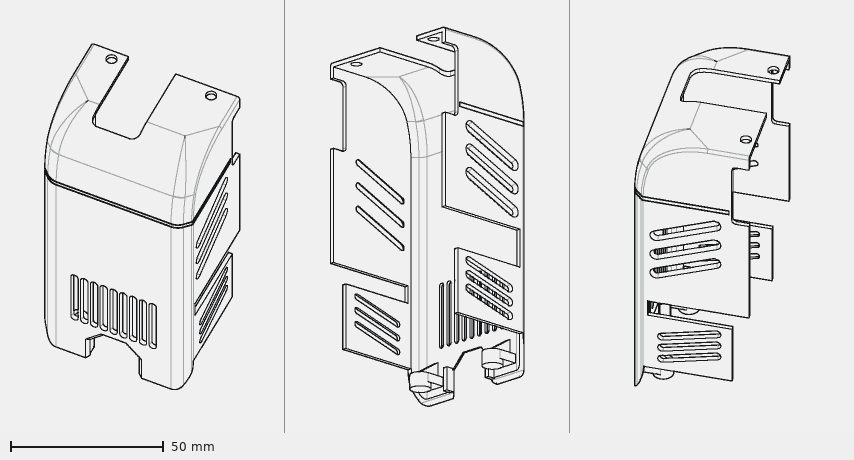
import cadquery as cq
import math

WIDTH = 53.6
DEPTH = 40.0
HEIGHT = 110.08
HALF = WIDTH / 2
WALL = 1.5
SINK = WALL / 2
BEYOND = 20.0

FACE_DROP = 24.4
FRONT_CROWN = 17.7
FRONT_FACE = 0.0
FRONT_CROWN_RADIUS = 16.6
CORNER_CROWN = 0.14
CORNER_FACE = -16.23
CORNER_CROWN_RADIUS = 15.4

CORNER_RADIUS = 5.3
SIDE_RADIUS = 1.0

GROOVE_TOP = HEIGHT - FACE_DROP
GROOVE_WIDTH = 1.5
GROOVE_DEPTH = 0.25
GROOVE_BACK = 33.2

TOP_HOLE_DIAMETER = 3.6
TOP_HOLE_X = 18.0
TOP_HOLE_Y = 36.7
TOP_NOTCH_LEFT = -13.4
TOP_NOTCH_RIGHT = 3.6
TOP_NOTCH_FRONT = 10.25
TOP_NOTCH_RADIUS = 2.6

REAR_NOTCH_FRONT = 34.2
REAR_NOTCH_TOP = HEIGHT - 5.3
REAR_NOTCH_BOTTOM = HEIGHT - 29.5
REAR_NOTCH_RADIUS = 1.5
GAP_FRONT = 5.75
GAP_BOTTOM = HEIGHT - 74.9
GAP_TOP_LEFT = HEIGHT - 61.8
GAP_TOP_RIGHT = HEIGHT - 68.9
LOWER_PANEL_BACK = 34.3
LOWER_PANEL_BOTTOM = HEIGHT - 97.2
SIDE_END_FRONT = 4.4

UPPER_SLOT_DIAMETER = 4.0
UPPER_SLOT_NARROWING = 0.95
UPPER_SLOT_BACK = (28.5, HEIGHT - 31.8)
UPPER_SLOT_FRONT = (8.6, HEIGHT - 40.2)
UPPER_SLOT_PITCH = 8.05
LOWER_SLOT_DIAMETER = 2.8
LOWER_SLOT_NARROWING = 0.4
LOWER_SLOT_BACK = (29.1, HEIGHT - 78.2)
LOWER_SLOT_FRONT = (10.6, HEIGHT - 83.2)
LOWER_SLOT_PITCH = 4.75
SIDE_SLOT_COUNT = 3
FRONT_SLOT_DIAMETER = 2.6
FRONT_SLOT_NARROWING = 0.4
FRONT_SLOT_COUNT = 9
FRONT_SLOT_PITCH = 3.53
FRONT_SLOT_TOP = HEIGHT - 69.3
FRONT_SLOT_BOTTOM = HEIGHT - 92.4

END_CORNER_RADIUS = 14.0
END_CORNER_TOP = 9.6
BOTTOM_NOTCH_HALF = 10.1
BOTTOM_NOTCH_FLAT = 4.5
BOTTOM_NOTCH_SHOULDER = HEIGHT - 100.3
BOTTOM_NOTCH_TOP = HEIGHT - 94.7
BOTTOM_NOTCH_NARROWING = 1.2
BOTTOM_NOTCH_BEVEL = 0.8
BOTTOM_NOTCH_ROUNDING = 1.0
END_BEVEL_DEPTH = 1.2
END_BEVEL_RISE = 1.5
END_TRIM_MIDDLE = (2.9, 5.2)
RIM_BACK = 4.1
RIM_BOTTOM = 1.8
RIM_WIDTH = 1.5

BOSS_DIAMETER = 7.0
BOSS_X = 16.8
BOSS_Y = 8.5
BOSS_BOTTOM = HEIGHT - 107.2
BOSS_TOP = HEIGHT - 102.3
BRIDGE_HEIGHT = 3.1
GUSSET_WIDTH = 2.0
GUSSET_BACK = 10.6
GUSSET_SLOPE = 0.62


def box(x0, x1, y0, y1, z0, z1):
    """Axis-aligned block between two opposite corners."""
    return cq.Workplane("XY").box(x1 - x0, y1 - y0, z1 - z0, centered=False).translate((x0, y0, z0))


def both_sides(right):
    """The feature together with its mirror image on the -X side."""
    return right.union(right.mirror("YZ"))


def rounded_slab(plane, crown, face, crown_radius, inset):
    """Everything behind a face that curves over into the flat top, shrunk by `inset`."""
    rear = DEPTH + WIDTH
    reach = crown - face
    rise = FACE_DROP - crown_radius
    brow_radius = (reach**2 + rise**2 - crown_radius**2) / (2 * (reach - crown_radius))
    crown_centre = (crown, HEIGHT - crown_radius)
    brow_centre = (face + brow_radius, HEIGHT - FACE_DROP)
    joint_angle = math.asin(rise / (brow_radius - crown_radius))

    def on_arc(centre, radius, angle):
        """Point on an arc, the angle rising from the outward horizontal."""
        trimmed = radius - inset
        return (centre[0] - trimmed * math.cos(angle), centre[1] + trimmed * math.sin(angle))

    crown_mid = on_arc(crown_centre, crown_radius, (math.pi / 2 + joint_angle) / 2)
    joint = on_arc(crown_centre, crown_radius, joint_angle)
    brow_mid = on_arc(brow_centre, brow_radius, joint_angle / 2)
    return (
        cq.Workplane(plane)
        .moveTo(rear, HEIGHT - inset)
        .lineTo(crown, HEIGHT - inset)
        .threePointArc(crown_mid, joint)
        .threePointArc(brow_mid, (face + inset, HEIGHT - FACE_DROP))
        .lineTo(face + inset, -BEYOND)
        .lineTo(rear, -BEYOND)
        .close()
        .extrude(2 * WIDTH, both=True)
    )


def outer_form(inset):
    """Solid form of the cover, each face moved inwards by `inset`."""
    front_plane = cq.Plane(origin=(0, 0, 0), xDir=(0, 1, 0), normal=(1, 0, 0))
    corner_plane = cq.Plane(origin=(0, 0, 0), xDir=(-1, 1, 0), normal=(1, 1, 0))
    corner = rounded_slab(corner_plane, CORNER_CROWN, CORNER_FACE, CORNER_CROWN_RADIUS, inset)
    form = rounded_slab(front_plane, FRONT_CROWN, FRONT_FACE, FRONT_CROWN_RADIUS, inset)
    form = form.intersect(corner).intersect(corner.mirror("YZ"))
    side = HALF - inset
    form = form.intersect(box(-side, side, -BEYOND, DEPTH + BEYOND, -BEYOND, HEIGHT))

    def between_front_and_corner(edge):
        start, end = edge.startPoint(), edge.endPoint()
        upright = abs(start.z - end.z) > 0.1
        return upright and abs(edge.Center().x) < side - 1 and edge.Center().y < FRONT_CROWN

    def around_side_wall(edge):
        on_wall = abs(abs(edge.Center().x) - side) < 0.01
        at_rear = edge.Center().y > DEPTH + BEYOND - 1
        at_bottom = edge.Center().z < 1 - BEYOND
        return on_wall and not at_rear and not at_bottom

    form = form.newObject(filter(between_front_and_corner, form.edges().vals())).fillet(
        CORNER_RADIUS - inset
    )
    if inset < SIDE_RADIUS:
        form = form.newObject(filter(around_side_wall, form.edges().vals())).fillet(SIDE_RADIUS - inset)
    return form


def shell():
    """Thin cover, open at the rear and at the bottom."""
    limits = box(-WIDTH, WIDTH, -1, DEPTH, 0, HEIGHT + 1)
    return outer_form(0).intersect(limits).cut(outer_form(WALL))


def groove():
    """Shallow band around the front and both sides."""
    band = box(-WIDTH, WIDTH, -1, GROOVE_BACK, GROOVE_TOP - GROOVE_WIDTH, GROOVE_TOP)
    return band.cut(outer_form(GROOVE_DEPTH))


def top_openings():
    """Cable notch from the rear edge and two screw holes."""
    notch = box(TOP_NOTCH_LEFT, TOP_NOTCH_RIGHT, TOP_NOTCH_FRONT, DEPTH + 1, HEIGHT - FACE_DROP, HEIGHT + 1)
    notch = notch.edges("|Z and <Y").fillet(TOP_NOTCH_RADIUS)
    holes = (
        cq.Workplane("XY", origin=(0, 0, HEIGHT + 1))
        .pushPoints([(-TOP_HOLE_X, TOP_HOLE_Y), (TOP_HOLE_X, TOP_HOLE_Y)])
        .circle(TOP_HOLE_DIAMETER / 2)
        .extrude(-WALL - 2)
    )
    return notch.union(holes)


def side_wall_cutouts():
    """Everything removed from the outlines of the two side walls."""
    rear = DEPTH + 1
    notch = box(-WIDTH, WIDTH, REAR_NOTCH_FRONT, rear, REAR_NOTCH_BOTTOM, REAR_NOTCH_TOP)
    notch = notch.edges("|X and <Y").fillet(REAR_NOTCH_RADIUS)
    left_gap = box(-WIDTH, 0, GAP_FRONT, rear, GAP_BOTTOM, GAP_TOP_LEFT)
    right_gap = box(0, WIDTH, GAP_FRONT, rear, GAP_BOTTOM, GAP_TOP_RIGHT)
    behind_panel = box(-WIDTH, WIDTH, LOWER_PANEL_BACK, rear, -1, GAP_BOTTOM + 1)
    return notch.union(left_gap).union(right_gap).union(behind_panel)


def narrowing_slot(plane, end_a, end_b, diameter, narrowing):
    """Round-ended slot through one wall, `narrowing` smaller all round at the inner face."""
    run = (end_b[0] - end_a[0], end_b[1] - end_a[1])
    length = math.hypot(*run) + diameter
    angle = math.degrees(math.atan2(run[1], run[0]))
    taper = math.degrees(math.atan2(narrowing, WALL))
    middle = ((end_a[0] + end_b[0]) / 2, (end_a[1] + end_b[1]) / 2)
    return (
        cq.Workplane(plane)
        .center(*middle)
        .slot2D(length, diameter, angle)
        .extrude(WALL, taper=taper)
    )


def front_slots():
    """Row of upright slots in the front wall."""
    plane = cq.Plane(origin=(0, 0, 0), xDir=(-1, 0, 0), normal=(0, 1, 0))
    slots = cq.Workplane()
    radius = FRONT_SLOT_DIAMETER / 2
    for i in range(FRONT_SLOT_COUNT):
        x = (i - (FRONT_SLOT_COUNT - 1) / 2) * FRONT_SLOT_PITCH
        bottom = (x, FRONT_SLOT_BOTTOM + radius)
        top = (x, FRONT_SLOT_TOP - radius)
        slots.add(narrowing_slot(plane, bottom, top, FRONT_SLOT_DIAMETER, FRONT_SLOT_NARROWING))
    return slots.combine()


def side_slots(back, front, pitch, diameter, narrowing):
    """Column of sloping slots, the same in both side walls."""
    plane = cq.Plane(origin=(-HALF, 0, 0), xDir=(0, 1, 0), normal=(1, 0, 0))
    slots = cq.Workplane()
    for i in range(SIDE_SLOT_COUNT):
        drop = i * pitch
        upper_end = (back[0], back[1] - drop)
        lower_end = (front[0], front[1] - drop)
        slots.add(narrowing_slot(plane, upper_end, lower_end, diameter, narrowing))
    return both_sides(slots.combine())


def bottom_notch():
    """Opening with sloping shoulders in the front wall, its front edge bevelled."""
    outline = [
        (-BOTTOM_NOTCH_HALF, -BEYOND),
        (-BOTTOM_NOTCH_HALF, BOTTOM_NOTCH_SHOULDER),
        (-BOTTOM_NOTCH_FLAT, BOTTOM_NOTCH_TOP),
        (BOTTOM_NOTCH_FLAT, BOTTOM_NOTCH_TOP),
        (BOTTOM_NOTCH_HALF, BOTTOM_NOTCH_SHOULDER),
        (BOTTOM_NOTCH_HALF, -BEYOND),
    ]
    plane = cq.Plane(origin=(0, 0, 0), xDir=(-1, 0, 0), normal=(0, 1, 0))
    taper = math.degrees(math.atan2(BOTTOM_NOTCH_NARROWING, BOTTOM_NOTCH_BEVEL))
    rounding = BOTTOM_NOTCH_ROUNDING
    rounded = cq.Workplane(plane).polyline(outline).close().offset2D(-rounding).offset2D(rounding)
    bevel = rounded.extrude(BOTTOM_NOTCH_BEVEL, taper=taper)
    passage = bevel.faces(">Y").wires().toPending().extrude(RIM_BACK)
    return bevel.union(passage)


def bottom_trim():
    """Rounded lower corners of the front outline and the bevel along the lower edge."""
    sweep = math.asin(END_CORNER_TOP / END_CORNER_RADIUS)
    centre_x = HALF - END_CORNER_RADIUS

    def on_arc(angle):
        x = centre_x + END_CORNER_RADIUS * math.cos(angle)
        return (x, END_CORNER_TOP - END_CORNER_RADIUS * math.sin(angle))

    corner = (
        cq.Workplane("XZ", origin=(0, -1, 0))
        .moveTo(HALF, END_CORNER_TOP)
        .threePointArc(on_arc(sweep / 2), on_arc(sweep))
        .lineTo(WIDTH, 0)
        .lineTo(WIDTH, END_CORNER_TOP)
        .close()
        .extrude(-DEPTH)
    )
    edge = (
        cq.Workplane("YZ")
        .lineTo(END_BEVEL_DEPTH, END_BEVEL_RISE)
        .threePointArc(END_TRIM_MIDDLE, (SIDE_END_FRONT, LOWER_PANEL_BOTTOM))
        .lineTo(DEPTH, LOWER_PANEL_BOTTOM)
        .lineTo(DEPTH, 0)
        .close()
        .extrude(WIDTH, both=True)
    )
    return both_sides(corner).union(edge)


def notch_rims():
    """Upright ribs behind both sides of the bottom notch."""
    inner = BOTTOM_NOTCH_HALF - BOTTOM_NOTCH_NARROWING
    top = BOTTOM_NOTCH_SHOULDER
    return both_sides(box(inner, inner + RIM_WIDTH, SINK, RIM_BACK, RIM_BOTTOM, top))


def screw_bosses():
    """Round bosses, each bridged to the front wall and braced by a gusset above."""
    radius = BOSS_DIAMETER / 2
    boss = cq.Workplane("XY", origin=(BOSS_X, BOSS_Y, BOSS_BOTTOM)).circle(radius)
    boss = boss.extrude(BOSS_TOP - BOSS_BOTTOM)
    bridge = box(BOSS_X - radius, BOSS_X + radius, SINK, BOSS_Y, BOSS_TOP - BRIDGE_HEIGHT, BOSS_TOP)
    gusset_rise = (GUSSET_BACK - SINK) * GUSSET_SLOPE
    gusset = (
        cq.Workplane("YZ", origin=(BOSS_X, 0, 0))
        .polyline([(GUSSET_BACK, BOSS_TOP), (SINK, BOSS_TOP + gusset_rise), (SINK, BOSS_TOP)])
        .close()
        .extrude(GUSSET_WIDTH / 2, both=True)
    )
    return both_sides(boss.union(bridge).union(gusset))


upper_slots = side_slots(
    UPPER_SLOT_BACK, UPPER_SLOT_FRONT, UPPER_SLOT_PITCH, UPPER_SLOT_DIAMETER, UPPER_SLOT_NARROWING
)
lower_slots = side_slots(
    LOWER_SLOT_BACK, LOWER_SLOT_FRONT, LOWER_SLOT_PITCH, LOWER_SLOT_DIAMETER, LOWER_SLOT_NARROWING
)
cover = shell().cut(groove()).cut(top_openings()).cut(side_wall_cutouts()).cut(bottom_trim())
cover = cover.cut(front_slots()).cut(upper_slots).cut(lower_slots)
result = cover.union(notch_rims()).union(screw_bosses()).cut(bottom_notch())